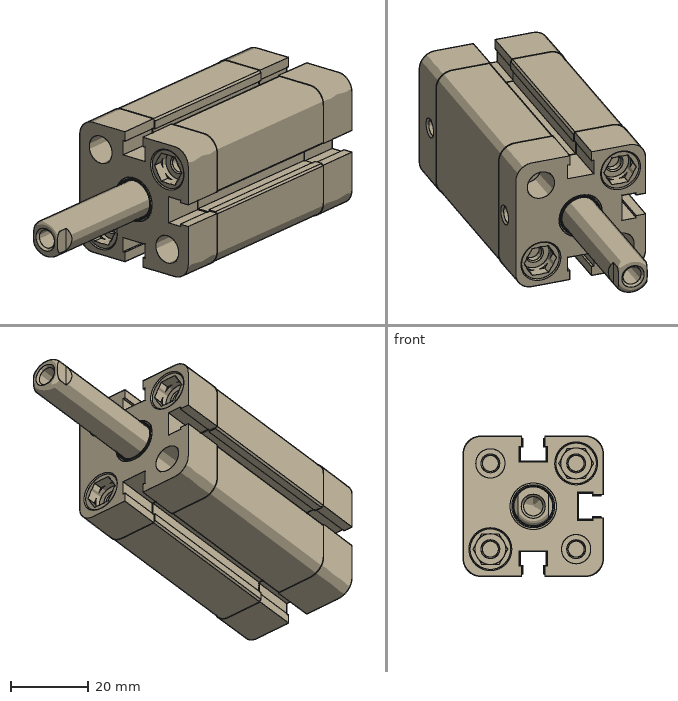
import cadquery as cq
import math

CAP_WIDTH = 36.3
BARREL_WIDTH = 36.0
FLAT_HALF = 13.6
CAP_DRAFT = 0.3
BODY_LENGTH = 67.2
FRONT_CAP_LENGTH = 11.9
REAR_CAP_LENGTH = 11.7
TOTAL_LENGTH = 103.6

SLOT_ANGLES = (0, 90, 180)
CAP_SLOT_DEPTH = 6.6
BARREL_SLOT_DEPTH = 6.3
CAP_SLOT_HALF = 3.6
BARREL_SLOT_HALF = 3.3
LIP_HEIGHT = 2.7
CAP_MOUTH_HALF = 3.0
BARREL_MOUTH_HALF = 2.7
MOUTH_CHAMFER = 0.5

FIXING_OFFSET = 11.1
PLAIN_HOLE_DIAMETER = 7.6
FIXING_DEPTH = 9.3
THREAD_DIAMETER = 4.9
THREAD_CORE_DIAMETER = 4.1
THREAD_DEPTH = 2.1
HEAD_BORE_DIAMETER = 11.1
HEAD_DIAMETER = 10.5
HEAD_RECESS_DEPTH = 0.3
SOCKET_SIDES = 6
SOCKET_CORNER_DIAMETER = 9.0
SOCKET_BORE_DIAMETER = 8.0
SOCKET_DEPTH = 2.6
SOCKET_BORE_DEPTH = 4.4

PORT_FROM_FRONT = 7.7
PORT_FROM_REAR = 7.5
PORT_DIAMETER = 4.1
PORT_MOUTH_DIAMETER = 5.3
PORT_OPENING_HALF = 1.5
CHAMBER_DIAMETER = 13.9
CHAMBER_LENGTH = 7.8

WIPER_GROOVE_DIAMETER = 12.0
WIPER_DIAMETER = 11.1
WIPER_GAP_DIAMETER = 10.5
WIPER_DEPTH = 0.5

ROD_DIAMETER = 10.0
ROD_END_FILLET = 1.2
ROD_FLATS_WIDTH = 8.0
ROD_FLATS_LENGTH = 3.6
ROD_THREAD_MOUTH = 6.2
ROD_THREAD_CORE = 5.0
ROD_THREAD_DEPTH = 12.4
DRILL_POINT_ANGLE = 118.0

PORT_BOTTOM = math.sqrt((CHAMBER_DIAMETER / 2) ** 2 - PORT_OPENING_HALF**2)
FRONT_SEAM = FRONT_CAP_LENGTH
REAR_SEAM = BODY_LENGTH - REAR_CAP_LENGTH
BARREL_LENGTH = REAR_SEAM - FRONT_SEAM
ROD_TIP = BODY_LENGTH - TOTAL_LENGTH
ROD_REAR = REAR_SEAM + CHAMBER_LENGTH


def plane_at(y, x=0.0, z=0.0, normal_sign=1):
    """A plane across the rod axis that faces +Y or -Y, with local Y along +Z."""
    return cq.Plane(origin=(x, y, z), xDir=(-normal_sign, 0, 0), normal=(0, normal_sign, 0))


def cylinder(diameter, y_start, y_end, x=0.0, z=0.0):
    return cq.Workplane(plane_at(y_start, x, z)).circle(diameter / 2).extrude(y_end - y_start)


def cone(start_diameter, end_diameter, y_start, y_end, x=0.0, z=0.0):
    solid = cq.Solid.makeCone(
        start_diameter / 2,
        end_diameter / 2,
        y_end - y_start,
        cq.Vector(x, y_start, z),
        cq.Vector(0, 1, 0),
    )
    return cq.Workplane(solid)


def rounded_bar(width, y_start, length, normal_sign=1, draft=0.0):
    """A square bar with rounded corners; its corner radius keeps the flat width fixed at the base."""
    corner_radius = width / 2 - FLAT_HALF
    outline = cq.Sketch().rect(width, width).vertices().fillet(corner_radius)
    base = cq.Workplane(plane_at(y_start, normal_sign=normal_sign))
    return base.placeSketch(outline).extrude(length, taper=draft)


def cut_sensor_slots(body, half_outline, y_start, length):
    """T-slots along the +Z, +X and -Z sides, from the +X half of the outline of the top one."""
    outline = half_outline + [(-x, z) for x, z in reversed(half_outline)]
    slot = cq.Workplane(plane_at(y_start)).polyline(outline).close().extrude(length)
    for angle in SLOT_ANGLES:
        body = body.cut(slot.rotate((0, 0, 0), (0, 1, 0), angle))
    return body


def cap_slot_half():
    outside = CAP_WIDTH / 2
    return [
        (CAP_SLOT_HALF, outside - CAP_SLOT_DEPTH),
        (CAP_SLOT_HALF, outside - LIP_HEIGHT),
        (CAP_MOUTH_HALF, outside - LIP_HEIGHT),
        (CAP_MOUTH_HALF, outside),
    ]


def barrel_slot_half():
    """The lips of the barrel slots are chamfered at the mouth."""
    outside = BARREL_WIDTH / 2
    return [
        (BARREL_SLOT_HALF, outside - BARREL_SLOT_DEPTH),
        (BARREL_SLOT_HALF, outside - LIP_HEIGHT),
        (BARREL_MOUTH_HALF, outside - LIP_HEIGHT),
        (BARREL_MOUTH_HALF, outside - MOUTH_CHAMFER),
        (BARREL_MOUTH_HALF + MOUTH_CHAMFER, outside),
    ]


def thread_end(y, x, z):
    """The countersunk core hole at the bottom of a corner fixing."""
    mouth_depth = (THREAD_DIAMETER - THREAD_CORE_DIAMETER) / 2
    mouth = cone(THREAD_DIAMETER, THREAD_CORE_DIAMETER, y, y + mouth_depth, x, z)
    return mouth.union(cylinder(THREAD_CORE_DIAMETER, y, y + THREAD_DEPTH, x, z))


def cut_plain_fixing(cap, x, z):
    hole = cylinder(PLAIN_HOLE_DIAMETER, 0, FIXING_DEPTH, x, z)
    return cap.cut(hole).cut(thread_end(FIXING_DEPTH, x, z))


def cut_socket_fixing(cap, x, z):
    """A slightly sunk screw head with a hexagon socket, flats up and down, above a round bore."""
    head = HEAD_RECESS_DEPTH
    recess = cone(HEAD_BORE_DIAMETER, HEAD_DIAMETER, 0, head, x, z)
    socket = (
        cq.Workplane(plane_at(head, x, z))
        .polygon(SOCKET_SIDES, SOCKET_CORNER_DIAMETER)
        .extrude(SOCKET_DEPTH)
    )
    bore = cylinder(SOCKET_BORE_DIAMETER, head, SOCKET_BORE_DEPTH, x, z)
    cap = cap.cut(recess).cut(socket).cut(bore)
    return cap.cut(thread_end(SOCKET_BORE_DEPTH, x, z))


def cut_air_port(cap, y):
    """A countersunk port whose flat bottom just breaks into the air chamber round the rod."""
    face_x = -CAP_WIDTH / 2
    inward = cq.Vector(1, 0, 0)
    start = cq.Vector(face_x, y, 0)
    mouth_depth = (PORT_MOUTH_DIAMETER - PORT_DIAMETER) / 2
    port = cq.Solid.makeCylinder(PORT_DIAMETER / 2, CAP_WIDTH / 2 - PORT_BOTTOM, start, inward)
    mouth = cq.Solid.makeCone(PORT_MOUTH_DIAMETER / 2, PORT_DIAMETER / 2, mouth_depth, start, inward)
    return cap.cut(cq.Workplane(port)).cut(cq.Workplane(mouth))


def make_front_cap():
    cap = rounded_bar(CAP_WIDTH, FRONT_SEAM, FRONT_CAP_LENGTH, -1, CAP_DRAFT)
    cap = cut_sensor_slots(cap, cap_slot_half(), 0, FRONT_CAP_LENGTH)
    for side in (-1, 1):
        cap = cut_plain_fixing(cap, side * FIXING_OFFSET, -side * FIXING_OFFSET)
        cap = cut_socket_fixing(cap, side * FIXING_OFFSET, side * FIXING_OFFSET)
    cap = cut_air_port(cap, PORT_FROM_FRONT)
    cap = cap.cut(cylinder(WIPER_GROOVE_DIAMETER, 0, WIPER_DEPTH))
    cap = cap.union(cylinder(WIPER_DIAMETER, 0, WIPER_DEPTH))
    cap = cap.cut(cylinder(WIPER_GAP_DIAMETER, 0, WIPER_DEPTH))
    cap = cap.cut(cylinder(CHAMBER_DIAMETER, FRONT_SEAM - CHAMBER_LENGTH, FRONT_SEAM))
    return cap.cut(cylinder(ROD_DIAMETER, 0, FRONT_SEAM))


def make_barrel():
    barrel = rounded_bar(BARREL_WIDTH, FRONT_SEAM, BARREL_LENGTH)
    barrel = barrel.cut(cylinder(ROD_DIAMETER, FRONT_SEAM, REAR_SEAM))
    return cut_sensor_slots(barrel, barrel_slot_half(), FRONT_SEAM, BARREL_LENGTH)


def make_rear_cap():
    cap = rounded_bar(CAP_WIDTH, REAR_SEAM, REAR_CAP_LENGTH, 1, CAP_DRAFT)
    cap = cut_sensor_slots(cap, cap_slot_half(), REAR_SEAM, REAR_CAP_LENGTH)
    cap = cap.cut(cylinder(CHAMBER_DIAMETER, REAR_SEAM, ROD_REAR))
    return cut_air_port(cap, BODY_LENGTH - PORT_FROM_REAR)


def cut_spanner_flats(rod):
    """Two flats on the +X and -X sides that run out at 45 degrees."""
    flat_x = ROD_FLATS_WIDTH / 2
    outer_x = ROD_DIAMETER / 2
    flat_end = ROD_TIP + ROD_FLATS_LENGTH
    waste = (
        cq.Workplane("XY")
        .polyline([
            (flat_x, ROD_TIP),
            (outer_x, ROD_TIP),
            (outer_x, flat_end + outer_x - flat_x),
            (flat_x, flat_end),
        ])
        .close()
        .extrude(ROD_DIAMETER / 2, both=True)
    )
    return rod.cut(waste).cut(waste.mirror("YZ"))


def cut_rod_thread(rod):
    mouth_depth = (ROD_THREAD_MOUTH - ROD_THREAD_CORE) / 2
    bottom = ROD_TIP + ROD_THREAD_DEPTH
    point_length = ROD_THREAD_CORE / 2 / math.tan(math.radians(DRILL_POINT_ANGLE / 2))
    rod = rod.cut(cone(ROD_THREAD_MOUTH, ROD_THREAD_CORE, ROD_TIP, ROD_TIP + mouth_depth))
    rod = rod.cut(cylinder(ROD_THREAD_CORE, ROD_TIP, bottom))
    return rod.cut(cone(ROD_THREAD_CORE, 0, bottom, bottom + point_length))


def make_rod():
    rod = cylinder(ROD_DIAMETER, ROD_TIP, ROD_REAR).faces("<Y").edges().fillet(ROD_END_FILLET)
    return cut_rod_thread(cut_spanner_flats(rod))


front_cap = make_front_cap().solids()
barrel = make_barrel().solids()
rear_cap = make_rear_cap().solids()
rod = make_rod().solids()

result = cq.Compound.makeCompound([front_cap.val(), barrel.val(), rear_cap.val(), rod.val()])